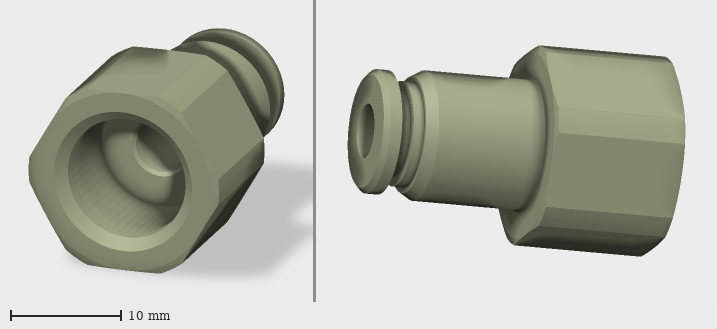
import cadquery as cq
import math

length = 27.7

hex_across_flats = 17.0
hex_across_corners = 18.4
hex_length = 12.5
hex_chamfer_angle = 15.0

body_radius = 5.95
body_top = 23.7
body_chamfer_width = 0.6
body_chamfer_height = 1.05
body_root_fillet = 0.3

collar_radius = 4.82
collar_top = 24.7
neck_radius = 3.9
neck_fillet = 0.3
flange_radius = 5.68
flange_thickness = 1.6
flange_chamfer = 0.5

socket_radius = 5.68
socket_depth = 9.97
socket_mouth_radius = 6.68
socket_mouth_depth = 1.0
passage_radius = 2.5
passage_chamfer = 0.3


def cone_frustum(start, height, start_radius, end_radius):
    """Solid frustum along +Y, starting at the given Y."""
    return cq.Workplane(
        cq.Solid.makeCone(start_radius, end_radius, height, cq.Vector(0, start, 0), cq.Vector(0, 1, 0))
    )


def cylinder(start, end, radius):
    """Solid cylinder along Y between two Y positions."""
    return cq.Workplane(
        cq.Solid.makeCylinder(radius, end - start, cq.Vector(0, start, 0), cq.Vector(0, 1, 0))
    )


def make_nut():
    """Hexagon with flats at top and bottom, turned corners and chamfered ends."""
    sharp_corner_diameter = hex_across_flats / math.cos(math.radians(30))
    hexagon = cq.Workplane("XZ").polygon(6, sharp_corner_diameter).extrude(-hex_length)
    flat_radius = hex_across_flats / 2
    corner_radius = hex_across_corners / 2
    chamfer_height = (corner_radius - flat_radius) * math.tan(math.radians(hex_chamfer_angle))
    turned_blank = (
        cq.Workplane("XY")
        .moveTo(0, 0)
        .lineTo(flat_radius, 0)
        .lineTo(corner_radius, chamfer_height)
        .lineTo(corner_radius, hex_length - chamfer_height)
        .lineTo(flat_radius, hex_length)
        .lineTo(0, hex_length)
        .close()
        .revolve(360, (0, 0, 0), (0, 1, 0))
    )
    return hexagon.intersect(turned_blank)


def make_turned_end():
    """Body, collar, neck and flange as one revolved profile."""
    flange_bottom = length - flange_thickness
    fillet_mid = 1 - math.sqrt(0.5)
    return (
        cq.Workplane("XY")
        .moveTo(0, hex_length / 2)
        .lineTo(body_radius + body_root_fillet, hex_length / 2)
        .lineTo(body_radius + body_root_fillet, hex_length)
        .threePointArc(
            (body_radius + body_root_fillet * fillet_mid, hex_length + body_root_fillet * fillet_mid),
            (body_radius, hex_length + body_root_fillet),
        )
        .lineTo(body_radius, body_top - body_chamfer_height)
        .lineTo(body_radius - body_chamfer_width, body_top)
        .lineTo(collar_radius, body_top)
        .lineTo(collar_radius, collar_top)
        .lineTo(neck_radius, collar_top)
        .lineTo(neck_radius, flange_bottom - neck_fillet)
        .threePointArc(
            (neck_radius + neck_fillet * fillet_mid, flange_bottom - neck_fillet * fillet_mid),
            (neck_radius + neck_fillet, flange_bottom),
        )
        .lineTo(flange_radius, flange_bottom)
        .lineTo(flange_radius, length - flange_chamfer)
        .lineTo(flange_radius - flange_chamfer, length)
        .lineTo(0, length)
        .close()
        .revolve(360, (0, 0, 0), (0, 1, 0))
    )


def cut_bores(part):
    """Socket with a tapered mouth, then the chamfered passage to the far end."""
    mouth = cone_frustum(0, socket_mouth_depth, socket_mouth_radius, socket_radius)
    socket = cylinder(0, socket_depth, socket_radius)
    passage_entry = cone_frustum(
        socket_depth, passage_chamfer, passage_radius + passage_chamfer, passage_radius
    )
    passage = cylinder(0, length, passage_radius)
    for bore in (mouth, socket, passage_entry, passage):
        part = part.cut(bore)
    return part


result = cut_bores(make_nut().union(make_turned_end()))